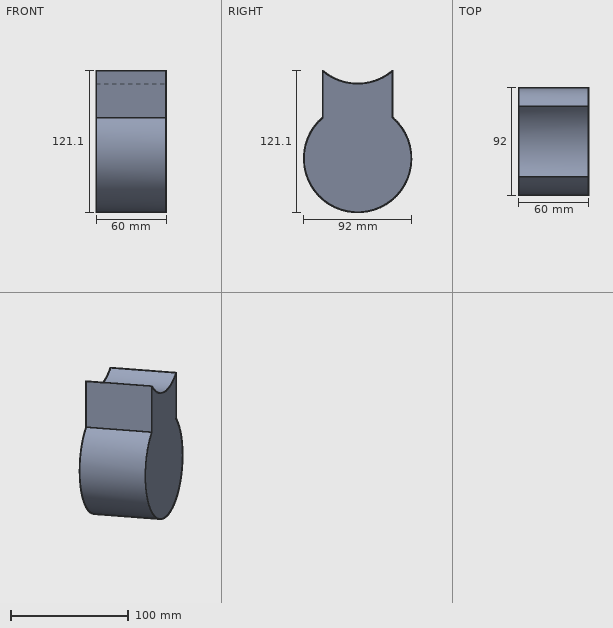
import cadquery as cq
import math

thickness = 60.0
neck_width = 60.0
radius = 46.0
total_height = 121.1

neck_half = neck_width / 2
tip_height = total_height - radius
arc_rise = math.sqrt(radius**2 - neck_half**2)
seat_bottom = tip_height + arc_rise - radius

profile = (
    cq.Workplane("YZ")
    .moveTo(neck_half, arc_rise)
    .lineTo(neck_half, tip_height)
    .threePointArc((0, seat_bottom), (-neck_half, tip_height))
    .lineTo(-neck_half, arc_rise)
    .threePointArc((0, -radius), (neck_half, arc_rise))
    .close()
)

result = profile.extrude(thickness / 2, both=True)